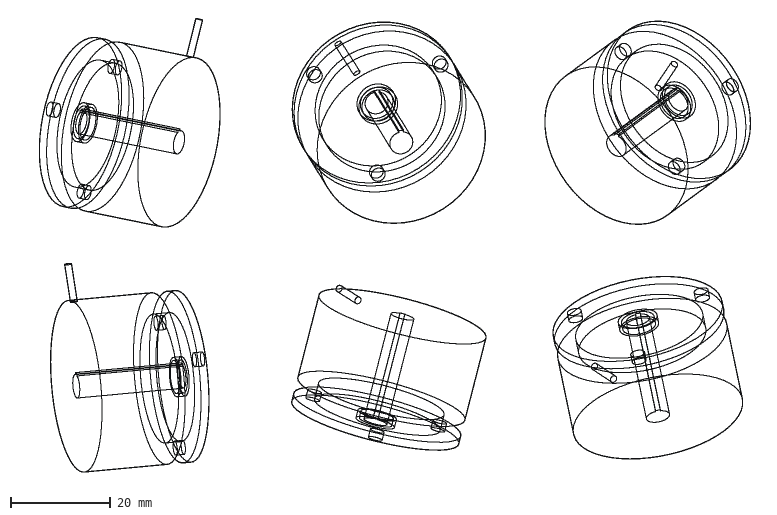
import cadquery as cq
import math

drum_diameter = 34.8
drum_radius = drum_diameter / 2
neck_radius = 13.05
flange_thickness = 1.7
neck_length = 3.35
total_length = 22.6

bore_radius = 2.38
key_width = 1.0
key_top = 2.75
gap_inner_radius = 3.35
gap_outer_radius = 4.0
gap_depth = flange_thickness
hub_recess = 0.2

hole_count = 3
hole_radius = 1.43
hole_circle_radius = 15.0

overall_height = 39.6
pin_radius = 0.7
pin_x = 20.4
pin_tilt = 30.0
pin_root_radius = drum_radius - 3.15
tilt_angle = math.radians(pin_tilt)
pin_top_z = overall_height - drum_radius
pin_tip_radius = (pin_top_z - pin_radius * math.sin(tilt_angle)) / math.cos(tilt_angle)


def cylinder(radius, start, length):
    """Cylinder about the X axis, beginning at X = start."""
    return cq.Workplane("YZ", origin=(start, 0, 0)).circle(radius).extrude(length)


def make_drum():
    body_start = flange_thickness + neck_length
    flange = cylinder(drum_radius, 0, flange_thickness)
    neck = cylinder(neck_radius, flange_thickness, neck_length)
    body = cylinder(drum_radius, body_start, total_length - body_start)
    return flange.union(neck).union(body)


def make_pin():
    direction = cq.Vector(0, math.sin(tilt_angle), math.cos(tilt_angle))
    root = cq.Vector(pin_x, 0, 0) + direction * pin_root_radius
    length = pin_tip_radius - pin_root_radius
    return cq.Workplane(cq.Solid.makeCylinder(pin_radius, length, root, direction))


def make_keyed_bore():
    key = (
        cq.Workplane("YZ")
        .center(0, key_top / 2)
        .rect(key_width, key_top)
        .extrude(total_length)
    )
    return cylinder(bore_radius, 0, total_length).union(key)


def make_hub_gap():
    hub = cylinder(gap_inner_radius, hub_recess, gap_depth - hub_recess)
    return cylinder(gap_outer_radius, 0, gap_depth).cut(hub)


def make_flange_holes():
    return (
        cq.Workplane("YZ")
        .polarArray(hole_circle_radius, -90, 360, hole_count)
        .circle(hole_radius)
        .extrude(flange_thickness)
    )


result = (
    make_drum()
    .union(make_pin())
    .cut(make_keyed_bore())
    .cut(make_hub_gap())
    .cut(make_flange_holes())
)